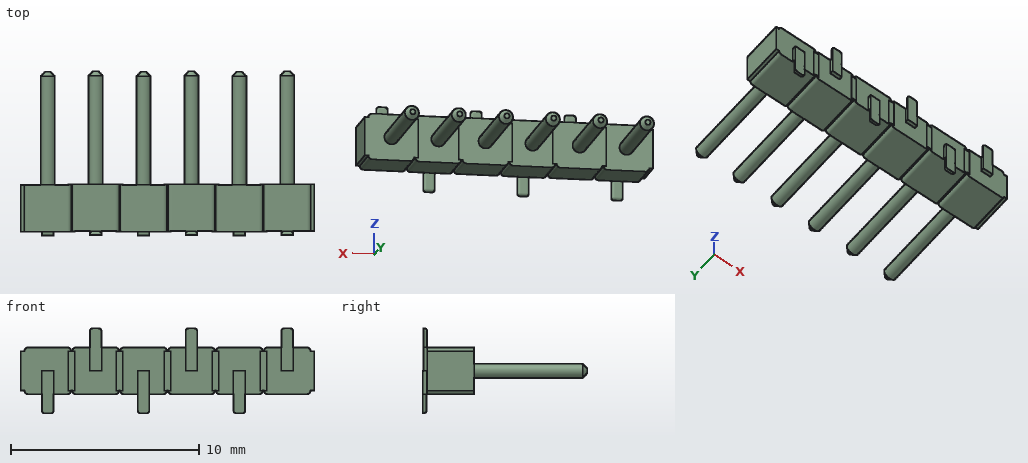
import cadquery as cq

SEGMENT_COUNT = 6
PITCH = 2.55
OVERALL_LENGTH = 15.6
RAISED_SHIFT = 0.03

SEGMENT_LENGTH = OVERALL_LENGTH - (SEGMENT_COUNT - 1) * PITCH
HOUSING_HEIGHT = 2.5
HOUSING_DEPTH = 2.5
LUG_STEP = 0.2
BLOCK_LENGTH = SEGMENT_LENGTH - 2 * LUG_STEP
LUG_HEIGHT = HOUSING_HEIGHT - 2 * LUG_STEP

PIN_DIAMETER = 0.76
PIN_LENGTH = 6.0
PIN_TIP_DIAMETER = 0.28
PIN_TIP_LENGTH = 0.25

LEG_WIDTH = 0.62
LEG_THICKNESS = 0.2
LEG_LENGTH = 2.26
LEG_EDGE_RADIUS = 0.15


def make_housing():
    """Rounded block and its lugs, front face at Y = 0."""
    center = (True, False, True)
    block = cq.Workplane("XY").box(BLOCK_LENGTH, HOUSING_DEPTH, HOUSING_HEIGHT, centered=center)
    block = block.edges("|Y").fillet(LUG_STEP)
    lugs = cq.Workplane("XY").box(SEGMENT_LENGTH, HOUSING_DEPTH, LUG_HEIGHT, centered=center)
    return block.union(lugs)


def make_pin():
    """Pin turned around the Y axis, standing on the back of the housing."""
    tip_y = HOUSING_DEPTH + PIN_LENGTH
    profile = (
        cq.Workplane("YZ")
        .moveTo(HOUSING_DEPTH, 0)
        .lineTo(HOUSING_DEPTH, PIN_DIAMETER / 2)
        .lineTo(tip_y - PIN_TIP_LENGTH, PIN_DIAMETER / 2)
        .lineTo(tip_y, PIN_TIP_DIAMETER / 2)
        .lineTo(tip_y, 0)
        .close()
    )
    return profile.revolve(360, (0, 0, 0), (1, 0, 0))


def make_leg():
    """Leg running down from the center of the front face, rounded where it leaves the housing."""
    centered = (True, False, False)
    root_length = HOUSING_HEIGHT / 2
    free_length = LEG_LENGTH - root_length
    root = cq.Workplane("XY").box(LEG_WIDTH, LEG_THICKNESS, root_length, centered=centered)
    free_end = cq.Workplane("XY").box(LEG_WIDTH, LEG_THICKNESS, free_length, centered=centered)
    tip_corners = free_end.edges("|Y and <Z")
    back_edges = free_end.faces(">Y").edges("not >Z")
    free_end = tip_corners.add(back_edges).fillet(LEG_EDGE_RADIUS)
    leg = root.translate((0, 0, free_length)).union(free_end)
    return leg.translate((0, -LEG_THICKNESS, -LEG_LENGTH))


def make_segment():
    """One complete segment, centered on X = 0, with its leg down."""
    return make_housing().union(make_pin()).union(make_leg())


def segment_x(index):
    return (index - (SEGMENT_COUNT - 1) / 2) * PITCH


def make_raised_segment(index):
    """Segment turned half around its pin so that the leg points up."""
    turned = make_segment().rotate((0, 0, 0), (0, 1, 0), 180)
    return turned.translate((segment_x(index), RAISED_SHIFT, 0))


def make_lowered_segment(index):
    """Leg-down segment, recessed behind its front face where the lugs of its neighbors enter."""
    segment = make_segment().translate((segment_x(index), 0, 0))
    for neighbor in (index - 1, index + 1):
        if 0 <= neighbor < SEGMENT_COUNT:
            segment = segment.cut(make_housing().translate((segment_x(neighbor), RAISED_SHIFT, 0)))
    return segment


lowered_segments = [make_lowered_segment(index) for index in range(0, SEGMENT_COUNT, 2)]
raised_segments = [make_raised_segment(index) for index in range(1, SEGMENT_COUNT, 2)]

result = cq.Compound.makeCompound([segment.val() for segment in lowered_segments + raised_segments])